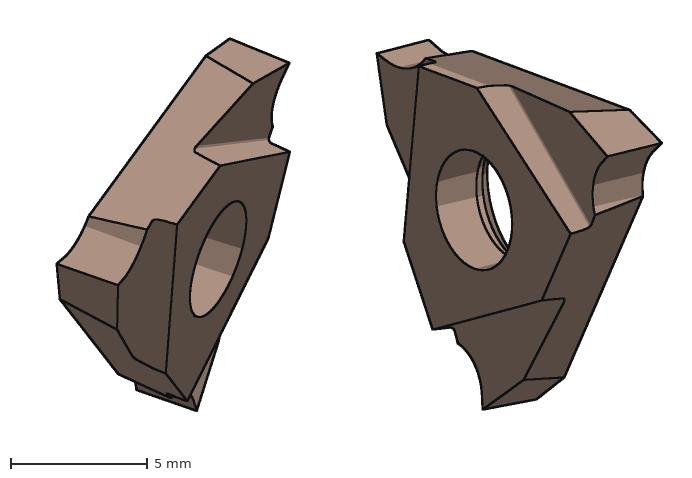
import cadquery as cq
import math

CORNERS = 3
CORNER_ANGLE = 360 / CORNERS
THICKNESS = 3.19
OVERSIZE = 16.55

FIRST_CORNER = 30.0
INRADIUS = 4.48
SIDE_DRAFT = 5.0
DRAFT_DEPTH = 2.68

TIP = (6.72, 4.29)
FLANK_END = (6.45, 2.17)
FLANK_RELIEF = 1.7
SCALLOP_RADIUS = 2.0
SCALLOP_CENTER = (5.49, 5.98)
TIP_RELIEF_START = 6.23

POCKET_START = (-0.17, 4.72)
POCKET_FLOOR_DEPTH = 1.88
POCKET_WALL_ANGLE = 217.7
POCKET_RISE = 3.2
POCKET_LEAN = 5.0
POCKET_FILLET = 0.17

SINK_RADIUS = 3.25
SEAT_RADIUS = 2.6
SEAT_END_RADIUS = 2.4
BORE_RADIUS = 2.25
SINK_DEPTH = 0.75
SEAT_DEPTH = 1.31

FACE = cq.Plane(origin=(0, 0, 0), xDir=(0, -1, 0), normal=(-1, 0, 0))


def around_corners(shape):
    """Yield the shape at every corner of the insert."""
    for corner in range(CORNERS):
        yield shape.rotate((0, 0, 0), (1, 0, 0), corner * CORNER_ANGLE)


def make_body():
    circumradius = INRADIUS / math.cos(math.pi / CORNERS)
    corner_angles = [math.radians(FIRST_CORNER + CORNER_ANGLE * i) for i in range(CORNERS)]
    growth = DRAFT_DEPTH * math.tan(math.radians(SIDE_DRAFT))
    rear_circumradius = (INRADIUS + growth) / math.cos(math.pi / CORNERS)

    def triangle(radius):
        return [(radius * math.cos(a), radius * math.sin(a)) for a in corner_angles]

    drafted = (
        cq.Workplane(FACE)
        .polyline(triangle(circumradius)).close()
        .workplane(offset=-DRAFT_DEPTH)
        .polyline(triangle(rear_circumradius)).close()
        .loft(ruled=True)
    )
    straight = (
        cq.Workplane(FACE).workplane(offset=-DRAFT_DEPTH)
        .polyline(triangle(rear_circumradius)).close()
        .extrude(DRAFT_DEPTH - THICKNESS)
    )
    return drafted.union(straight)


def make_flank_cutter():
    """Block whose inner face is the relieved flank of one corner."""
    along_h = TIP[0] - FLANK_END[0]
    along_z = TIP[1] - FLANK_END[1]
    plane = cq.Plane(
        origin=(0, -TIP[0], TIP[1]), xDir=(0, -along_h, along_z), normal=(-1, 0, 0)
    ).rotated((FLANK_RELIEF, 0, 0))
    return (
        cq.Workplane(plane)
        .rect(OVERSIZE, OVERSIZE)
        .extrude(OVERSIZE, both=True)
        .translate(plane.yDir * (-OVERSIZE / 2))
    )


def make_scallop_cutter():
    """Hollow beside the tip: an arc that runs on as a straight line to the tip and beyond."""
    center_h, center_z = SCALLOP_CENTER
    arc_end_z = center_z - math.sqrt(SCALLOP_RADIUS**2 - (TIP_RELIEF_START - center_h) ** 2)
    slope = (TIP[1] - arc_end_z) / (TIP[0] - TIP_RELIEF_START)
    far_h = TIP[0] + SCALLOP_RADIUS
    far_z = arc_end_z + slope * (far_h - TIP_RELIEF_START)
    top_z = center_z + SCALLOP_RADIUS
    return (
        cq.Workplane(FACE)
        .moveTo(center_h - SCALLOP_RADIUS, center_z)
        .threePointArc((center_h, center_z - SCALLOP_RADIUS), (TIP_RELIEF_START, arc_end_z))
        .lineTo(far_h, far_z)
        .lineTo(far_h, top_z)
        .lineTo(center_h - SCALLOP_RADIUS, top_z)
        .close()
        .extrude(-OVERSIZE)
    )


def make_pocket_cutter():
    """Tilted block with a rounded inner edge; its base is the floor and one side the wall."""
    angle = math.radians(POCKET_WALL_ANGLE)
    rise = math.tan(math.radians(POCKET_RISE))
    lean = math.tan(math.radians(POCKET_LEAN))
    along = cq.Vector(rise, -math.cos(angle), math.sin(angle))
    outward = cq.Vector(lean, -math.sin(angle), -math.cos(angle))
    foot_shift = (THICKNESS - POCKET_FLOOR_DEPTH) * lean
    origin = (
        POCKET_FLOOR_DEPTH,
        -(POCKET_START[0] + foot_shift * math.sin(angle)),
        POCKET_START[1] - foot_shift * math.cos(angle),
    )
    floor = cq.Plane(origin=origin, xDir=along, normal=along.cross(outward))
    return (
        cq.Workplane(floor)
        .center(0, OVERSIZE / 2)
        .rect(2 * OVERSIZE, OVERSIZE)
        .extrude(OVERSIZE)
        .edges(cq.selectors.NearestToPointSelector(origin))
        .fillet(POCKET_FILLET)
    )


def make_bore():
    profile = [
        (0, 0),
        (0, SINK_RADIUS),
        (SINK_DEPTH, SEAT_RADIUS),
        (SEAT_DEPTH, SEAT_END_RADIUS),
        (SEAT_DEPTH, BORE_RADIUS),
        (THICKNESS, BORE_RADIUS),
        (THICKNESS, 0),
    ]
    return cq.Workplane("XY").polyline(profile).close().revolve(360, (0, 0, 0), (1, 0, 0))


result = make_body()
for make_cutter in (make_flank_cutter, make_scallop_cutter, make_pocket_cutter):
    for cutter in around_corners(make_cutter()):
        result = result.cut(cutter)
result = result.cut(make_bore())